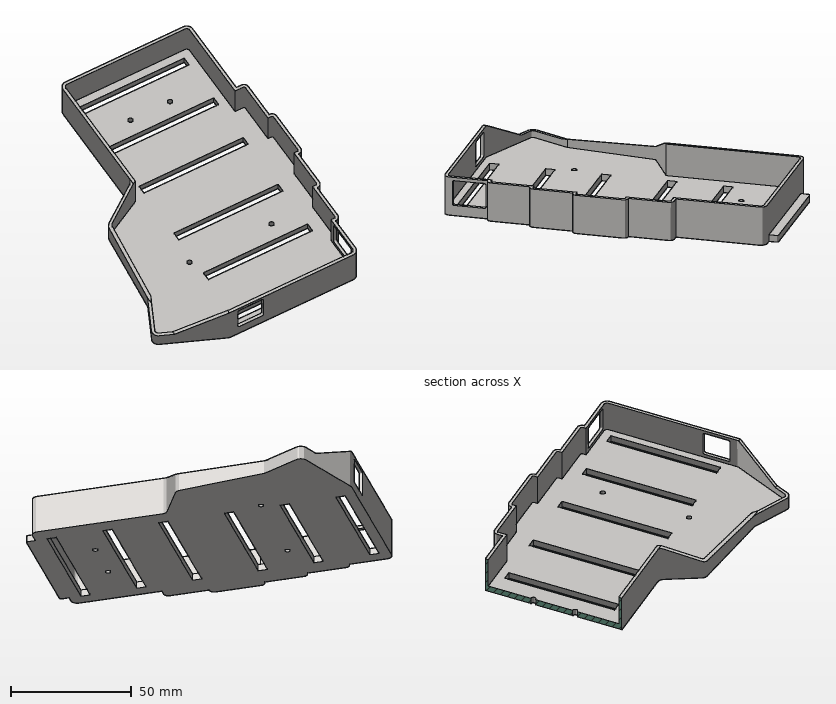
import cadquery as cq
import math

height = 17.0
floor_thickness = 3.0
wall = 1.4
tray_width = 138.4
tray_depth = 62.4

back_step = 2.3
back_step_xs = (38.5, 57.5, 81.5, 100.5, 119.3)
back_y_levels = (
    tray_depth + 2 * back_step,
    tray_depth + 3 * back_step,
    tray_depth + 2 * back_step,
    tray_depth + back_step,
    tray_depth,
)

lobe_start = (58.5, 0)
lobe_left = (67.6, -16.8)
lobe_bend = (107.2, -21.0)
lobe_tip = (125.5, -29.5)

pick_reach = 0.01

corner_radius = 2.8
step_radius = 2.1
right_bend_radius = 4.3

low_rim_height = 6.0
slope_end_y = lobe_bend[1]

slot_width = 4.0
slot_length = 50.1
slot_front_y = 6.8
slot_pitch = 24.0
slot_group_starts = (7.1, 83.6)
slots_per_group = 3

hole_diameter = 2.1
hole_places = ((21.6, 40.5), (21.6, 21.4), (98.0, 44.1), (98.0, 4.7))

tab_reach = 4.0
tab_corner_radius = 1.0

window_bottom = 4.5
window_top = 15.5
window_radius = 0.7
back_window_x = (120.0, 134.4)
side_window_y = (4.1, 16.4)


def tray_corners():
    """Outer outline corners, counter-clockwise, each with its rounding radius."""
    corners = [
        ((0, 0), corner_radius),
        (lobe_start, corner_radius),
        (lobe_left, corner_radius),
        (lobe_bend, corner_radius),
        (lobe_tip, corner_radius),
        ((tray_width, 0), right_bend_radius),
        ((tray_width, tray_depth), corner_radius),
    ]
    levels = (tray_depth,) + back_y_levels
    for i in reversed(range(len(back_step_xs))):
        x = back_step_xs[i]
        right, left = levels[i + 1], levels[i]
        right_radius = step_radius if right > left else 0
        left_radius = step_radius if left > right else 0
        corners.append(((x, right), right_radius))
        corners.append(((x, left), left_radius))
    corners.append(((0, tray_depth), corner_radius))
    return corners


def inset(corners, distance):
    """Move every side inwards by distance; convex corners lose that much radius, others turn sharp."""
    moved = []
    count = len(corners)
    for i in range(count):
        (ax, ay), _ = corners[i - 1]
        (bx, by), radius = corners[i]
        (cx, cy), _ = corners[(i + 1) % count]
        a = math.atan2(by - ay, bx - ax)
        c = math.atan2(cy - by, cx - bx)
        half_turn = math.remainder(c - a, 2 * math.pi) / 2
        reach = distance / math.cos(half_turn)
        inward = a + half_turn + math.pi / 2
        point = (bx + reach * math.cos(inward), by + reach * math.sin(inward))
        moved.append((point, max(radius - distance, 0) if half_turn > 0 else 0))
    return moved


def prism(corners, bottom, top):
    """Upright prism on an outline whose corners are rounded by their own radii."""
    body = cq.Workplane("XY").workplane(offset=bottom).polyline([p for p, _ in corners]).close()
    body = body.extrude(top - bottom)
    middle = (bottom + top) / 2
    for (x, y), radius in corners:
        if radius > 0:
            low = (x - pick_reach, y - pick_reach, middle - pick_reach)
            high = (x + pick_reach, y + pick_reach, middle + pick_reach)
            body = body.edges(cq.selectors.BoxSelector(low, high)).fillet(radius)
    return body


def rim_cut():
    """Everything above the sloping and low parts of the rim."""
    front_y = lobe_tip[1]
    profile = [
        (0, height),
        (slope_end_y, low_rim_height),
        (front_y, low_rim_height),
        (front_y, height),
    ]
    return cq.Workplane("YZ").polyline(profile).close().extrude(tray_width)


def block(x, y, z):
    """Box between pairs of limits along each axis."""
    size = [limits[1] - limits[0] for limits in (x, y, z)]
    return cq.Workplane("XY").box(*size, centered=False).translate((x[0], y[0], z[0]))


def side_tab():
    y = (slot_front_y, slot_front_y + slot_length)
    tab = block((-tab_reach, wall), y, (0, floor_thickness))
    return tab.edges("|Z and <X").fillet(tab_corner_radius)


def slots():
    cut = cq.Workplane("XY")
    y = (slot_front_y, slot_front_y + slot_length)
    for start in slot_group_starts:
        for i in range(slots_per_group):
            x = start + i * slot_pitch - slot_width / 2
            cut = cut.add(block((x, x + slot_width), y, (0, floor_thickness)))
    return cut.combine()


def windows():
    z = (window_bottom, window_top)
    back = block(back_window_x, (tray_depth - 2 * wall, tray_depth + wall), z)
    side = block((tray_width - 2 * wall, tray_width + wall), side_window_y, z)
    return back.edges("|Y").fillet(window_radius).union(side.edges("|X").fillet(window_radius))


outline = tray_corners()
tray = prism(outline, 0, height)
tray = tray.cut(prism(inset(outline, wall), floor_thickness, height))
tray = tray.cut(rim_cut()).cut(windows()).union(side_tab()).cut(slots())
holes = cq.Workplane("XY").pushPoints(hole_places).circle(hole_diameter / 2).extrude(floor_thickness)
result = tray.cut(holes)